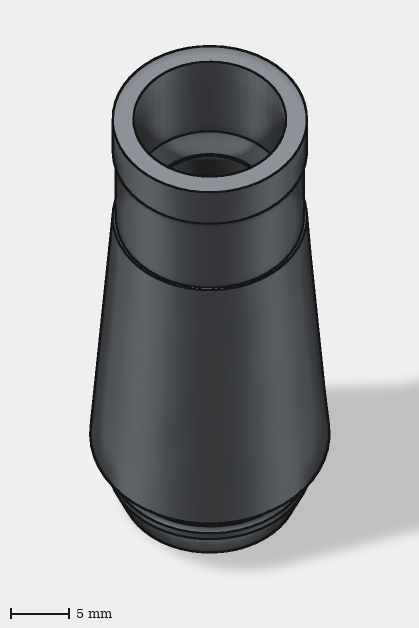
import cadquery as cq

length = 47.9
flare_diameter = 20.6

collar_diameter = 16.7
neck_diameter = 16.2
groove_diameter = collar_diameter
lip_diameter = 17.65
tip_diameter = 15.35

lip_bottom = 3.05
lip_top = 3.85
groove_bottom = 4.2
groove_top = 5.65
flare_edge = 6.8
taper_top = 35.1
collar_bottom = 43.8

socket_diameter = 13.12
funnel_top = length - 9.1
funnel_diameter = 10.35
funnel_bottom = funnel_top - (socket_diameter - funnel_diameter) / 2
passage_diameter = 9.95


def revolved(profile):
    """Turn (diameter, height) points into a solid of revolution about Z, closed along the axis."""
    rim = [(diameter / 2, height) for diameter, height in profile]
    axis_ends = [(0, rim[-1][1]), (0, rim[0][1])]
    outline = cq.Workplane("YZ").polyline(rim + axis_ends).close()
    return outline.revolve(360, (0, 0), (0, 1))


body = revolved([
    (tip_diameter, 0),
    (lip_diameter, lip_bottom),
    (lip_diameter, lip_top),
    (groove_diameter, groove_bottom),
    (groove_diameter, groove_top),
    (flare_diameter, flare_edge),
    (collar_diameter, taper_top),
    (neck_diameter, taper_top),
    (neck_diameter, collar_bottom),
    (collar_diameter, collar_bottom),
    (collar_diameter, length),
])

bore = revolved([
    (passage_diameter, 0),
    (passage_diameter, funnel_bottom),
    (funnel_diameter, funnel_bottom),
    (socket_diameter, funnel_top),
    (socket_diameter, length),
])

result = body.cut(bore)